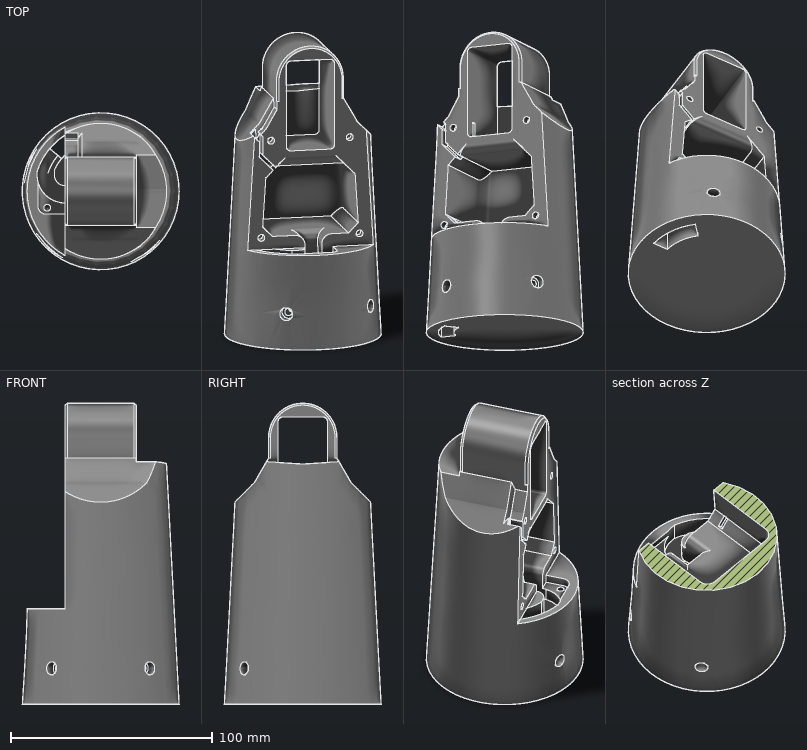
import cadquery as cq
import math

BASE_RADIUS = 39.0
DRAFT_ANGLE = 3.0
TOTAL_HEIGHT = 149.55
STEP_HEIGHT = 47.5
HEAD_RADIUS = 17.0
HEAD_HALF_LENGTH = 17.75
HEAD_CHAMFER_RADIAL = 1.0
HEAD_CHAMFER_AXIAL = 1.3

STEEP_TOP_Z = 122.3
STEEP_BOTTOM_Y = 24.1
STEEP_BOTTOM_Z = 110.0
SHOULDER_EDGE_Z = 120.5
VALLEY_Z = 119.4
VALLEY_HALF_WIDTH = 0.9

WINDOW_HALF_WIDTH = 12.2
WINDOW_BOTTOM = 97.0
WINDOW_TOP = 142.6
WINDOW_CORNER_RADIUS = 2.2

POCKET_FLOOR = 54.0
POCKET_TOP = 88.8
POCKET_TOP_HALF_WIDTH = 17.7
POCKET_BEVEL = 5.0
POCKET_BOTTOM_HALF_WIDTH = 19.3
POCKET_BACK_X = 23.0
POCKET_BACK_RADIUS = 5.0
MOUTH_RADIUS = 4.7

PASSAGE_LEFT_Y = 2.8
PASSAGE_RIGHT_Y = -5.8
PASSAGE_BACK_X = -7.7
PASSAGE_EDGE_RADIUS = 5.0
PASSAGE_FLOOR = 37.0
PASSAGE_SWEEP_RADIUS = 12.0
BEND_CENTRE_Y = 8.0
PASSAGE_INNER_RADIUS = 25.3
CAVITY_RADIUS = 33.0
CHUTE_ANGLE = 140.0
CHUTE_DROP_RADIUS = 10.0
CHUTE_END_X = -4.0
RAMP_INNER_RADIUS = 27.7

RECESS_FLOOR = 43.2
RECESS_X = -31.2
RECESS_Y = -11.4
RECESS_CORNER_RADIUS = 4.3

GROOVE_WIDTH = 1.85
GROOVE_ROOF_DEPTH = 2.0
GROOVE_DEPTH = 6.4
GROOVE_LIP_Y = 25.3
GROOVE_INNER_Y = 24.15
GROOVE_BEND_Z = 95.4
GROOVE_FLARE_Y = 28.9

SLOT_WIDTH = 2.6
WINDOW_SLOT_DEPTH = 8.0
SLOT_BOTTOM = 99.0
SLOT_TOP = 105.9
BEVEL_SLOT_DEPTH = 3.0
BEVEL_SLOT_MARGIN = 0.8

PILOT_DIAMETER = 3.4
PILOT_DEPTH = 5.0
DRILL_POINT_ANGLE = 118.0
UPPER_PILOT = (20.0, 102.6)
LOWER_PILOT = (24.95, 53.5)
LEDGE_PILOT = (-26.5, -8.2)
SHELL_SCREW_Z = 17.9
SHELL_SCREW_ANGLES = (-130.0, -50.0, 155.0)
SHELL_SCREW_DIAMETER = 3.7
SHELL_SCREW_END_RADIUS = 24.0
SHELL_HEAD_DIAMETER = 6.4
SHELL_HEAD_FLOOR_RADIUS = 32.8

FACE_X = -HEAD_HALF_LENGTH
HEAD_CENTRE_Z = TOTAL_HEIGHT - HEAD_RADIUS
REACH = 2 * BASE_RADIUS
TAPER = math.tan(math.radians(DRAFT_ANGLE))


def box(x0, x1, y0, y1, z0, z1):
    """Axis-aligned box between the given limits."""
    return cq.Workplane("XY").box(x1 - x0, y1 - y0, z1 - z0, centered=False).translate((x0, y0, z0))


def prism_x(points, x0, x1):
    """Polygon of (Y, Z) points extruded from x0 to x1."""
    return cq.Workplane("YZ", origin=(x0, 0, 0)).polyline(points).close().extrude(x1 - x0)


def mirrored(half):
    """Closed (Y, Z) outline from its +Y half."""
    return half + [(-y, z) for y, z in reversed(half)]


def disc(radius, z0, z1):
    """Vertical cylinder about the part axis."""
    return cq.Workplane("XY", origin=(0, 0, z0)).circle(radius).extrude(z1 - z0)


def make_shell():
    """Cone trimmed to the roof outline, with the front ledge and the rear shoulder."""
    top_radius = BASE_RADIUS - STEEP_TOP_Z * TAPER
    cone = (
        cq.Workplane("XZ")
        .polyline([(0, 0), (BASE_RADIUS, 0), (top_radius, STEEP_TOP_Z), (0, STEEP_TOP_Z)])
        .close()
        .revolve(360, (0, 0, 0), (0, 1, 0))
    )
    eaves_z = STEEP_BOTTOM_Z - (BASE_RADIUS - STEEP_BOTTOM_Y)
    roof = mirrored([
        (BASE_RADIUS, 0),
        (BASE_RADIUS, eaves_z),
        (STEEP_BOTTOM_Y, STEEP_BOTTOM_Z),
        (HEAD_RADIUS, STEEP_TOP_Z),
    ])
    shell = cone.intersect(prism_x(roof, -REACH, REACH))
    shell = shell.cut(box(-REACH, FACE_X, -REACH, REACH, STEP_HEIGHT, TOTAL_HEIGHT))
    steep_run = (STEEP_BOTTOM_Y - HEAD_RADIUS) / (STEEP_TOP_Z - STEEP_BOTTOM_Z)
    shoulder_half_width = HEAD_RADIUS + (STEEP_TOP_Z - SHOULDER_EDGE_Z) * steep_run
    above_shoulder = mirrored([
        (VALLEY_HALF_WIDTH, VALLEY_Z),
        (shoulder_half_width, SHOULDER_EDGE_Z),
        (shoulder_half_width, TOTAL_HEIGHT),
    ])
    return shell.cut(prism_x(above_shoulder, HEAD_HALF_LENGTH, REACH))


def head_outline(plane, radius):
    """Arched head section drawn on a workplane parallel to YZ."""
    return (
        plane.moveTo(-radius, STEEP_TOP_Z)
        .lineTo(-radius, HEAD_CENTRE_Z)
        .threePointArc((0, HEAD_CENTRE_Z + radius), (radius, HEAD_CENTRE_Z))
        .lineTo(radius, STEEP_TOP_Z)
        .close()
    )


def make_head():
    """Rounded head with a chamfer around both ends."""
    barrel_end_x = HEAD_HALF_LENGTH - HEAD_CHAMFER_AXIAL
    start = cq.Workplane("YZ", origin=(-barrel_end_x, 0, 0))
    barrel = head_outline(start, HEAD_RADIUS).extrude(2 * barrel_end_x)
    end = head_outline(cq.Workplane("YZ", origin=(barrel_end_x, 0, 0)), HEAD_RADIUS)
    end = head_outline(end.workplane(offset=HEAD_CHAMFER_AXIAL), HEAD_RADIUS - HEAD_CHAMFER_RADIAL)
    end = end.loft(ruled=True)
    return barrel.union(end).union(end.mirror("YZ"))


def make_window():
    """Opening through the head that continues down as a pocket in the shell."""
    window = box(FACE_X, HEAD_HALF_LENGTH, -WINDOW_HALF_WIDTH, WINDOW_HALF_WIDTH, WINDOW_BOTTOM, WINDOW_TOP)
    return window.edges("|X").fillet(WINDOW_CORNER_RADIUS)


def make_pocket():
    """Bevelled pocket with rounded rear corners and a rounded upper lip."""
    top_wide = POCKET_TOP_HALF_WIDTH + POCKET_BEVEL
    bottom_wide = POCKET_BOTTOM_HALF_WIDTH + POCKET_BEVEL
    upper_corner = (top_wide, POCKET_TOP - POCKET_BEVEL)
    lower_corner = (bottom_wide, POCKET_FLOOR + POCKET_BEVEL)
    lean = (lower_corner[0] - upper_corner[0]) / (upper_corner[1] - lower_corner[1])
    trapezoid = mirrored([
        (bottom_wide + POCKET_BEVEL * lean, POCKET_FLOOR),
        (top_wide - POCKET_BEVEL * lean, POCKET_TOP),
    ])
    bevelled = mirrored([
        (POCKET_BOTTOM_HALF_WIDTH, POCKET_FLOOR),
        lower_corner,
        upper_corner,
        (POCKET_TOP_HALF_WIDTH, POCKET_TOP),
    ])
    pocket = prism_x(trapezoid, FACE_X, POCKET_BACK_X)
    pocket = pocket.faces(">X").edges("not |Y").fillet(POCKET_BACK_RADIUS)
    pocket = pocket.intersect(prism_x(bevelled, FACE_X, POCKET_BACK_X))

    lip_profile = (
        cq.Workplane("XZ", origin=(0, REACH / 2, 0))
        .moveTo(FACE_X, POCKET_TOP)
        .lineTo(FACE_X + MOUTH_RADIUS, POCKET_TOP)
        .radiusArc((FACE_X, POCKET_TOP + MOUTH_RADIUS), MOUTH_RADIUS)
        .close()
        .extrude(REACH)
    )
    lip_limits = mirrored([
        (POCKET_TOP_HALF_WIDTH, POCKET_TOP),
        (POCKET_TOP_HALF_WIDTH - MOUTH_RADIUS, POCKET_TOP + MOUTH_RADIUS),
    ])
    return pocket.union(lip_profile.intersect(prism_x(lip_limits, FACE_X, FACE_X + MOUTH_RADIUS)))


def make_floor_passage():
    """Slot through the pocket floor with rounded upper edges and a sweeping rear wall."""
    sweep_top = PASSAGE_FLOOR + PASSAGE_SWEEP_RADIUS
    sweep_start_x = PASSAGE_BACK_X - PASSAGE_SWEEP_RADIUS
    slot = (
        cq.Workplane("XZ", origin=(0, PASSAGE_LEFT_Y, 0))
        .moveTo(sweep_start_x, PASSAGE_FLOOR)
        .radiusArc((PASSAGE_BACK_X, sweep_top), -PASSAGE_SWEEP_RADIUS)
        .lineTo(PASSAGE_BACK_X, POCKET_FLOOR)
        .lineTo(sweep_start_x, POCKET_FLOOR)
        .close()
        .extrude(PASSAGE_LEFT_Y - PASSAGE_RIGHT_Y)
    )
    edge = PASSAGE_EDGE_RADIUS
    round_bottom = POCKET_FLOOR - edge
    back_x = PASSAGE_BACK_X + edge
    left_y = PASSAGE_LEFT_Y + edge
    right_y = PASSAGE_RIGHT_Y - edge
    flare = box(FACE_X, back_x, right_y, left_y, round_bottom, POCKET_FLOOR)
    for y in (left_y, right_y):
        side = cq.Workplane("YZ", origin=(FACE_X, y, round_bottom))
        flare = flare.cut(side.circle(edge).extrude(back_x - FACE_X))
    back = cq.Workplane("XZ", origin=(back_x, REACH / 2, round_bottom))
    flare = flare.cut(back.circle(edge).extrude(REACH))
    return slot.union(flare)


def make_column():
    """Rounded column left standing on the inside of the passage bend."""
    radius = BEND_CENTRE_Y - PASSAGE_LEFT_Y
    column = box(FACE_X - radius, 0, PASSAGE_LEFT_Y, REACH, PASSAGE_FLOOR, STEP_HEIGHT)
    column = column.edges("|Z and <X and <Y").fillet(radius)
    return column.intersect(disc(PASSAGE_INNER_RADIUS, PASSAGE_FLOOR, STEP_HEIGHT))


def make_bend(column):
    """Level passage that turns from the floor slot and follows the shell."""
    radius = BEND_CENTRE_Y - PASSAGE_RIGHT_Y
    bend = box(FACE_X - radius, CHUTE_END_X, PASSAGE_RIGHT_Y, REACH, PASSAGE_FLOOR, STEP_HEIGHT)
    bend = bend.edges("|Z and <X and <Y").fillet(radius)
    beside_column = (FACE_X, CHUTE_END_X, PASSAGE_RIGHT_Y, PASSAGE_LEFT_Y)
    bend = bend.cut(box(*beside_column, PASSAGE_FLOOR, STEP_HEIGHT))
    return bend.intersect(disc(CAVITY_RADIUS, PASSAGE_FLOOR, STEP_HEIGHT)).cut(column)


def make_chute():
    """Drop from the passage floor through the base, led in by a rounded ramp."""
    radial = math.radians(CHUTE_ANGLE)
    frame = cq.Plane(
        origin=(0, 0, PASSAGE_FLOOR),
        xDir=(math.sin(radial), -math.cos(radial), 0),
        normal=(-math.cos(radial), -math.sin(radial), 0),
    )
    ramp = (
        cq.Workplane(frame)
        .moveTo(-CHUTE_DROP_RADIUS, 0)
        .radiusArc((0, -CHUTE_DROP_RADIUS), CHUTE_DROP_RADIUS)
        .lineTo(0, 0)
        .close()
        .extrude(-REACH)
    )
    drop = (
        cq.Workplane(frame)
        .lineTo(0, -PASSAGE_FLOOR)
        .lineTo(REACH, -PASSAGE_FLOOR)
        .lineTo(REACH, 0)
        .close()
        .extrude(-REACH)
    )
    ramp = ramp.cut(disc(RAMP_INNER_RADIUS, 0, PASSAGE_FLOOR))
    drop = drop.cut(disc(PASSAGE_INNER_RADIUS, 0, PASSAGE_FLOOR))
    limits = disc(CAVITY_RADIUS, 0, PASSAGE_FLOOR)
    limits = limits.intersect(box(-REACH, CHUTE_END_X, 0, REACH, 0, PASSAGE_FLOOR))
    return ramp.union(drop).intersect(limits)


def make_recess(column):
    """Shallow recess in the ledge around the passage."""
    recess = box(RECESS_X, FACE_X, RECESS_Y, REACH, RECESS_FLOOR, STEP_HEIGHT)
    recess = recess.edges("|Z and <X and <Y").fillet(RECESS_CORNER_RADIUS)
    return recess.intersect(disc(CAVITY_RADIUS, RECESS_FLOOR, STEP_HEIGHT)).cut(column)


def make_groove():
    """Wire groove from the pocket up the mounting face and along the roof, with a flared end."""
    steep_slope = (STEEP_TOP_Z - STEEP_BOTTOM_Z) / (STEEP_BOTTOM_Y - HEAD_RADIUS)
    steep_drop = GROOVE_ROOF_DEPTH * math.hypot(1, steep_slope)
    eaves_drop = GROOVE_ROOF_DEPTH * math.sqrt(2)
    outer_y = GROOVE_INNER_Y + GROOVE_WIDTH
    pocket_y = POCKET_TOP_HALF_WIDTH
    outer_bend_z = GROOVE_BEND_Z - GROOVE_WIDTH * (math.sqrt(2) - 1)

    def eaves_z(y):
        return STEEP_BOTTOM_Z + STEEP_BOTTOM_Y - y

    bend_y = STEEP_BOTTOM_Y - (steep_drop - eaves_drop) / (steep_slope - 1)
    floor_bend = (bend_y, eaves_z(bend_y) - eaves_drop)
    floor_top = (HEAD_RADIUS, STEEP_TOP_Z - steep_drop)
    lip_z = eaves_z(GROOVE_LIP_Y) - eaves_drop
    flare_z = eaves_z(GROOVE_FLARE_Y)
    flare_foot = (outer_y, flare_z - (GROOVE_FLARE_Y - outer_y))
    above_flare = (GROOVE_FLARE_Y, STEEP_TOP_Z)
    groove_end_x = FACE_X + GROOVE_DEPTH

    groove = prism_x([
        (HEAD_RADIUS, STEEP_TOP_Z),
        floor_top,
        floor_bend,
        (GROOVE_LIP_Y, lip_z),
        (GROOVE_INNER_Y, lip_z - (GROOVE_LIP_Y - GROOVE_INNER_Y)),
        (GROOVE_INNER_Y, GROOVE_BEND_Z),
        (pocket_y, GROOVE_BEND_Z - (GROOVE_INNER_Y - pocket_y)),
        (pocket_y, outer_bend_z - (outer_y - pocket_y)),
        (outer_y, outer_bend_z),
        flare_foot,
        (GROOVE_FLARE_Y, flare_z),
        above_flare,
    ], FACE_X, groove_end_x)

    roof_top = (HEAD_RADIUS, STEEP_TOP_Z)
    roof_bend = (STEEP_BOTTOM_Y, STEEP_BOTTOM_Z)
    clear_z = STEEP_TOP_Z + GROOVE_ROOF_DEPTH
    far_corners = [(GROOVE_FLARE_Y, clear_z), (HEAD_RADIUS, clear_z)]
    flare = (
        cq.Workplane("YZ", origin=(groove_end_x, 0, 0))
        .polyline([floor_top, floor_bend, flare_foot, *far_corners])
        .close()
        .workplane(offset=GROOVE_ROOF_DEPTH)
        .polyline([roof_top, roof_bend, (GROOVE_FLARE_Y, flare_z), *far_corners])
        .close()
        .loft(ruled=True)
    )
    return groove.union(flare)


def make_tie_slots():
    """Slot in the window wall, and a slot in the pocket's lower bevel."""
    x0 = FACE_X + GROOVE_DEPTH
    x1 = x0 + SLOT_WIDTH
    window_slot = box(x0, x1, WINDOW_HALF_WIDTH, WINDOW_HALF_WIDTH + WINDOW_SLOT_DEPTH, SLOT_BOTTOM, SLOT_TOP)
    sink = BEVEL_SLOT_DEPTH / math.sqrt(2)
    near = (POCKET_BOTTOM_HALF_WIDTH + BEVEL_SLOT_MARGIN, POCKET_FLOOR + BEVEL_SLOT_MARGIN)
    far = (POCKET_BOTTOM_HALF_WIDTH + POCKET_BEVEL, POCKET_FLOOR + POCKET_BEVEL)
    far_sunk = (far[0] + sink, far[1] - sink)
    near_sunk = (near[0] + sink, near[1] - sink)
    bevel_slot = prism_x([near, far, far_sunk, near_sunk], x0, x1)
    return window_slot.union(bevel_slot)


def make_pilot(start, direction):
    """Blind drilled hole with a conical bottom."""
    radius = PILOT_DIAMETER / 2
    point_length = radius / math.tan(math.radians(DRILL_POINT_ANGLE / 2))
    start = cq.Vector(*start)
    direction = cq.Vector(*direction)
    bore = cq.Solid.makeCylinder(radius, PILOT_DEPTH, start, direction)
    point = cq.Solid.makeCone(radius, 0, point_length, start + direction * PILOT_DEPTH, direction)
    return bore.fuse(point)


def make_pilot_holes():
    """Four holes in the mounting face and one in the ledge recess."""
    holes = cq.Workplane(make_pilot((*LEDGE_PILOT, RECESS_FLOOR), (0, 0, -1)))
    for offset, z in (UPPER_PILOT, LOWER_PILOT):
        for y in (offset, -offset):
            holes = holes.union(cq.Workplane(make_pilot((FACE_X, y, z), (1, 0, 0))))
    return holes


def make_shell_screw(angle):
    """Counterbored radial screw hole in the base."""
    def bore(diameter, start):
        return cq.Workplane("YZ", origin=(start, 0, 0)).circle(diameter / 2).extrude(BASE_RADIUS)

    hole = bore(SHELL_SCREW_DIAMETER, SHELL_SCREW_END_RADIUS)
    hole = hole.union(bore(SHELL_HEAD_DIAMETER, SHELL_HEAD_FLOOR_RADIUS))
    return hole.rotate((0, 0, 0), (0, 0, 1), angle).translate((0, 0, SHELL_SCREW_Z))


result = make_shell().union(make_head())
result = result.cut(make_window()).cut(make_pocket())
result = result.cut(make_floor_passage())
passage_column = make_column()
result = result.cut(make_bend(passage_column)).cut(make_chute()).cut(make_recess(passage_column))
result = result.cut(make_groove()).cut(make_tie_slots()).cut(make_pilot_holes())
for screw_angle in SHELL_SCREW_ANGLES:
    result = result.cut(make_shell_screw(screw_angle))